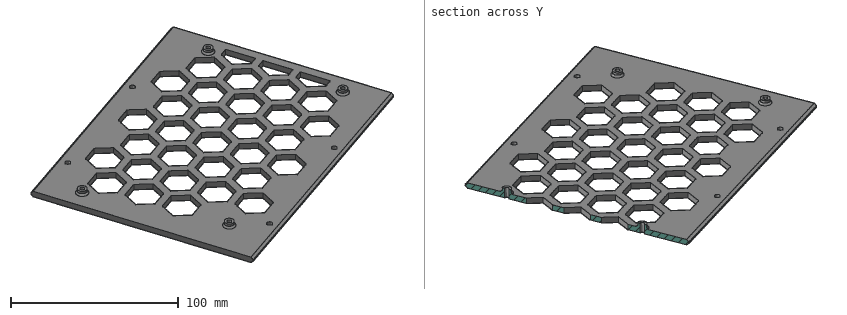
import cadquery as cq
import math

plate_width = 148.6
plate_length = 184.8
plate_thickness = 4.0
edge_bevel_run = 1.5
edge_bevel_rise = 1.5

hex_flat_width = 20.0
hex_pitch = 25.0
row_pitch = hex_pitch * math.sin(math.radians(60))
hex_corner_diameter = hex_flat_width / math.cos(math.radians(30))
full_rows = range(-3, 4)
wide_row_columns = 5
narrow_row_columns = 4
half_row = 4
half_row_columns = 3

mount_hole_diameter = 3.5
mount_hole_x = 67.5
mount_hole_rows = (27.7, -57.3)

total_height = 7.0
standoff_height = total_height - plate_thickness
standoff_diameter = 6.0
standoff_bore = 2.8
foot_diameter = 8.0
foot_height = 1.3
standoff_centers = [
    (-43.3, 79.9),
    (46.8, 79.9),
    (46.8, -69.7),
    (-46.2, -80.2),
]


def make_plate():
    """Flat plate whose two long edges are bevelled above and below."""
    tip_x = plate_width / 2
    face_x = tip_x - edge_bevel_run
    tip_top = plate_thickness - edge_bevel_rise
    profile = [
        (-face_x, 0),
        (face_x, 0),
        (tip_x, edge_bevel_rise),
        (tip_x, tip_top),
        (face_x, plate_thickness),
        (-face_x, plate_thickness),
        (-tip_x, tip_top),
        (-tip_x, edge_bevel_rise),
    ]
    return cq.Workplane("XZ").polyline(profile).close().extrude(plate_length / 2, both=True)


def row_centers(row, columns):
    """Centres of one row of hexagons, spread evenly about X = 0."""
    first_x = -(columns - 1) / 2 * hex_pitch
    return [(first_x + column * hex_pitch, row * row_pitch) for column in range(columns)]


def hexagons(centers):
    """Hexagonal cutters with two flats parallel to Y."""
    prism = cq.Workplane("XY").polygon(6, hex_corner_diameter).extrude(plate_thickness)
    prism = prism.rotate((0, 0, 0), (0, 0, 1), 90)
    cutters = cq.Workplane("XY")
    for x, y in centers:
        cutters = cutters.add(prism.translate((x, y, 0)))
    return cutters.combine()


def make_full_vents():
    """Rows of whole hexagons; the lowest row leaves out its right-hand one for a standoff."""
    centers = []
    for row in full_rows:
        columns = wide_row_columns if row % 2 == 0 else narrow_row_columns
        row_points = row_centers(row, columns)
        if row == full_rows[0]:
            row_points = row_points[:-1]
        centers += row_points
    return hexagons(centers)


def make_half_vents():
    """Top row of hexagons, keeping only the halves below their centre line."""
    lower_half = cq.Workplane("XY").box(
        plate_width, half_row * row_pitch, plate_thickness, centered=(True, False, False)
    )
    return hexagons(row_centers(half_row, half_row_columns)).intersect(lower_half)


def make_standoffs():
    """Round posts, each on a conical foot."""
    foot_radius = foot_diameter / 2
    post_radius = standoff_diameter / 2
    profile = [
        (0, 0),
        (foot_radius, 0),
        (post_radius, foot_height),
        (post_radius, standoff_height),
        (0, standoff_height),
    ]
    standoff = cq.Workplane("XZ").polyline(profile).close().revolve(360, (0, 0), (0, 1))
    standoffs = cq.Workplane("XY")
    for x, y in standoff_centers:
        standoffs = standoffs.add(standoff.translate((x, y, plate_thickness)))
    return standoffs.combine()


def drill(centers, diameter):
    """Round cutters that reach through the plate and standoffs."""
    return cq.Workplane("XY").pushPoints(centers).circle(diameter / 2).extrude(total_height)


mount_hole_centers = [(side * mount_hole_x, y) for side in (-1, 1) for y in mount_hole_rows]

result = (
    make_plate()
    .cut(make_full_vents())
    .cut(make_half_vents())
    .union(make_standoffs())
    .cut(drill(mount_hole_centers, mount_hole_diameter))
    .cut(drill(standoff_centers, standoff_bore))
)